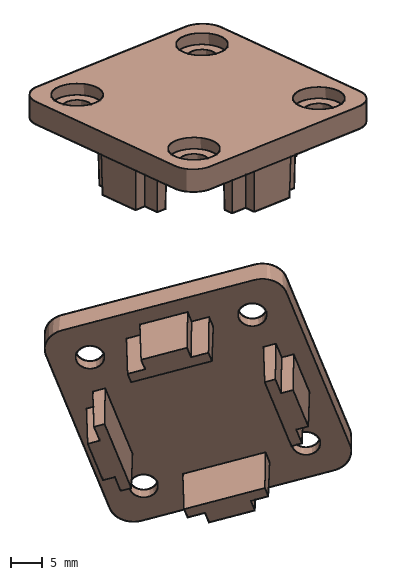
import cadquery as cq

plate_side = 40.0
plate_thickness = 4.0
corner_radius = 4.0

hole_spacing = 27.0
hole_diameter = 4.5
counterbore_diameter = 8.2
counterbore_depth = 2.0

plug_length = 9.0
plug_draft_angle = 1.0
plug_inner_reach = 13.15
plug_shoulder_reach = 15.25
plug_outer_reach = 17.25
wing_width = 13.75
stem_width = 7.95
plug_angles = (0, 90, 180, 270)


def make_plate():
    """Square plate with rounded corners, its underside on Z = 0."""
    return (
        cq.Workplane("XY")
        .rect(plate_side, plate_side)
        .extrude(plate_thickness)
        .edges("|Z")
        .fillet(corner_radius)
    )


def drill_screw_holes(plate):
    """Cut one counterbored hole near each corner from the top face."""
    return (
        plate.faces(">Z")
        .workplane()
        .rect(hole_spacing, hole_spacing, forConstruction=True)
        .vertices()
        .cboreHole(hole_diameter, counterbore_diameter, counterbore_depth)
    )


def drafted_block(outer_reach, width):
    """Block hanging under the plate from the plug's back face to outer_reach, drafted on all sides."""
    depth = outer_reach - plug_inner_reach
    return (
        cq.Workplane("XY")
        .center(plug_inner_reach + depth / 2, 0)
        .rect(depth, width)
        .extrude(-plug_length, taper=plug_draft_angle)
    )


def make_plug(angle):
    """T-shaped plug with its stem pointing outward, turned about Z by the angle."""
    wings = drafted_block(plug_shoulder_reach, wing_width)
    stem = drafted_block(plug_outer_reach, stem_width)
    return wings.union(stem).rotate((0, 0, 0), (0, 0, 1), angle)


result = drill_screw_holes(make_plate())
for plug_angle in plug_angles:
    result = result.union(make_plug(plug_angle))